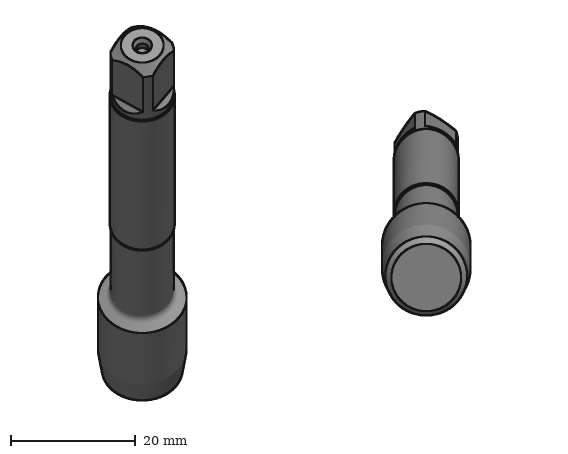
import cadquery as cq
import math

TOTAL_LENGTH = 88.0
NOSE_CHAMFER_HEIGHT = 1.0
TAPER_END = 6.1
HEAD_LENGTH = 20.0
NECK_END = 39.4
SHANK_END = 74.8
FLAT_BOTTOM = 76.9

HEAD_DIAMETER = 14.3
NOSE_DIAMETER = 13.1
NOSE_FACE_DIAMETER = 11.2

NECK_DIAMETER = 10.1
SHANK_DIAMETER = 10.5
DRIVE_DIAMETER = 10.2
NECK_FILLET_RADIUS = 1.3
SHOULDER_ANGLE = math.radians(30)
NECK_CHAMFER_HEIGHT = 0.5
SHANK_CHAMFER_HEIGHT = 0.3

SQUARE_SIDE = 8.3
TOP_FACE_DIAMETER = 6.9
FLAT_FLOOR_ANGLE = math.radians(44)

CENTRE_DIAMETER = 2.0
CENTRE_MOUTH_DIAMETER = 3.1
CENTRE_DEPTH = 2.0
COUNTERSINK_HALF_ANGLE = math.radians(30)
DRILL_TIP_HALF_ANGLE = math.radians(60)


def revolve_profile(profile):
    """Spin a closed half section, drawn as (radius, height), about Z."""
    return profile.close().revolve(360, (0, 0, 0), (0, 1, 0))


def make_head():
    """Cylindrical cutting head with a tapered, chamfered nose."""
    return revolve_profile(
        cq.Workplane("XZ")
        .lineTo(NOSE_FACE_DIAMETER / 2, 0)
        .lineTo(NOSE_DIAMETER / 2, NOSE_CHAMFER_HEIGHT)
        .lineTo(HEAD_DIAMETER / 2, TAPER_END)
        .lineTo(HEAD_DIAMETER / 2, HEAD_LENGTH)
        .lineTo(0, HEAD_LENGTH)
    )


def make_shank_blank():
    """Round shank: shoulder cone, filleted neck, shank and bevelled drive end."""
    neck_radius = NECK_DIAMETER / 2
    drive_radius = DRIVE_DIAMETER / 2

    sweep = math.pi / 2 - SHOULDER_ANGLE
    fillet_start_radius = neck_radius + NECK_FILLET_RADIUS * (1 - math.cos(sweep))
    shoulder_height = (HEAD_DIAMETER / 2 - fillet_start_radius) * math.tan(SHOULDER_ANGLE)
    fillet_start = HEAD_LENGTH + shoulder_height
    fillet_end = fillet_start + NECK_FILLET_RADIUS * math.sin(sweep)
    fillet_middle = (
        neck_radius + NECK_FILLET_RADIUS * (1 - math.cos(sweep / 2)),
        fillet_end - NECK_FILLET_RADIUS * math.sin(sweep / 2),
    )
    top_bevel = (DRIVE_DIAMETER - TOP_FACE_DIAMETER) / 2

    return revolve_profile(
        cq.Workplane("XZ")
        .moveTo(0, HEAD_LENGTH)
        .lineTo(HEAD_DIAMETER / 2, HEAD_LENGTH)
        .lineTo(fillet_start_radius, fillet_start)
        .threePointArc(fillet_middle, (neck_radius, fillet_end))
        .lineTo(neck_radius, NECK_END)
        .lineTo(SHANK_DIAMETER / 2, NECK_END + NECK_CHAMFER_HEIGHT)
        .lineTo(SHANK_DIAMETER / 2, SHANK_END - SHANK_CHAMFER_HEIGHT)
        .lineTo(drive_radius, SHANK_END)
        .lineTo(drive_radius, TOTAL_LENGTH - top_bevel)
        .lineTo(TOP_FACE_DIAMETER / 2, TOTAL_LENGTH)
        .lineTo(0, TOTAL_LENGTH)
    )


def make_flat_cutter():
    """Cutter for the +X flat, with a floor that slopes down outwards."""
    inner = SQUARE_SIDE / 2
    outer = SHANK_DIAMETER / 2
    floor_drop = (outer - inner) * math.tan(FLAT_FLOOR_ANGLE)
    return (
        cq.Workplane("XZ")
        .moveTo(inner, FLAT_BOTTOM)
        .lineTo(outer, FLAT_BOTTOM - floor_drop)
        .lineTo(outer, TOTAL_LENGTH)
        .lineTo(inner, TOTAL_LENGTH)
        .close()
        .extrude(SHANK_DIAMETER / 2, both=True)
    )


def make_centre_hole():
    """Countersunk centre hole with a conical drill tip."""
    mouth_radius = CENTRE_MOUTH_DIAMETER / 2
    bore_radius = CENTRE_DIAMETER / 2
    countersink_depth = (mouth_radius - bore_radius) / math.tan(COUNTERSINK_HALF_ANGLE)
    tip_depth = CENTRE_DEPTH + bore_radius / math.tan(DRILL_TIP_HALF_ANGLE)
    return revolve_profile(
        cq.Workplane("XZ")
        .moveTo(0, TOTAL_LENGTH)
        .lineTo(mouth_radius, TOTAL_LENGTH)
        .lineTo(bore_radius, TOTAL_LENGTH - countersink_depth)
        .lineTo(bore_radius, TOTAL_LENGTH - CENTRE_DEPTH)
        .lineTo(0, TOTAL_LENGTH - tip_depth)
    )


def make_shank():
    """Shank with a square drive and a centre hole at its top."""
    shank = make_shank_blank()
    for angle in (0, 90, 180, 270):
        shank = shank.cut(make_flat_cutter().rotate((0, 0, 0), (0, 0, 1), angle))
    return shank.cut(make_centre_hole())


head = make_head()
shank = make_shank()

result = cq.Compound.makeCompound([head.val(), shank.val()])